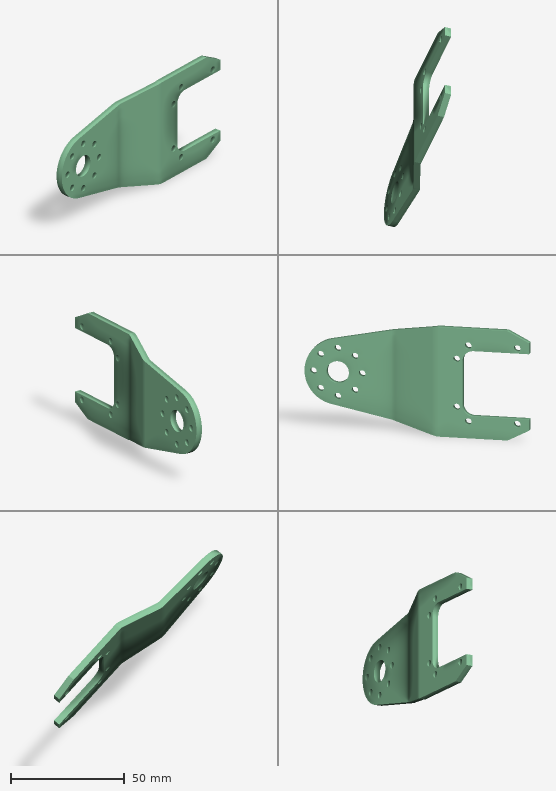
import cadquery as cq
import math

overall_length = 102.5
thickness = 3.0
tail_half_width = 25.0
nose_radius = 15.0
tail_end = overall_length - nose_radius

joggle_offset = 6.6
bend_angle = math.radians(18.2)
bend_inner_radius = 5.0
nose_bend_start = 24.4

hub_hole_diameter = 10.0
small_hole_diameter = 3.0
bolt_circle_radius = 11.0
bolt_count = 8

slot_half_width = 15.0
slot_depth = 30.0
slot_corner_radius = 5.0
tip_chamfer_length = 9.7
tip_chamfer_width = 5.0
tail_hole_positions = [(82.1, 17.3), (60.1, 17.3), (54.8, 11.0)]

mid_radius = bend_inner_radius + thickness / 2
bend_rise = mid_radius * (1 - math.cos(bend_angle))
bend_run = mid_radius * math.sin(bend_angle)
bend_length = mid_radius * bend_angle
panel_length = (joggle_offset - 2 * bend_rise) / math.sin(bend_angle)
tail_start = nose_bend_start + 2 * bend_run + panel_length * math.cos(bend_angle)

flat_taper_length = nose_bend_start + 2 * bend_length + panel_length
taper_angle = math.atan2(tail_half_width, flat_taper_length) - math.asin(
    nose_radius / math.hypot(flat_taper_length, tail_half_width)
)


def half_width(flat_length):
    """Half width of the tapered sheet at a flat-pattern distance from the hub."""
    return (nose_radius + flat_length * math.sin(taper_angle)) / math.cos(taper_angle)


def section(x, y, angle, width):
    """Sheet cross-section at a mid-sheet point, normal to the given direction."""
    plane = cq.Plane(
        origin=(x, y, 0),
        xDir=(math.cos(angle), -math.sin(angle), 0),
        normal=(math.sin(angle), math.cos(angle), 0),
    )
    return cq.Workplane(plane).rect(thickness, 2 * width)


def flat_plate(outline, x):
    """Extrude a YZ outline by the sheet thickness from the given X."""
    return outline.extrude(thickness).translate((x, 0, 0))


def make_nose():
    tangent_y = -nose_radius * math.sin(taper_angle)
    tangent_z = nose_radius * math.cos(taper_angle)
    end_width = half_width(nose_bend_start)
    outline = (
        cq.Workplane("YZ")
        .moveTo(nose_bend_start, -end_width)
        .lineTo(nose_bend_start, end_width)
        .lineTo(tangent_y, tangent_z)
        .threePointArc((-nose_radius, 0), (tangent_y, -tangent_z))
        .close()
    )
    hub_hole = cq.Workplane("YZ").circle(hub_hole_diameter / 2).extrude(thickness)
    bolt_holes = (
        cq.Workplane("YZ")
        .polarArray(bolt_circle_radius, 0, 360, bolt_count)
        .circle(small_hole_diameter / 2)
        .extrude(thickness)
    )
    return flat_plate(outline, 0).cut(hub_hole).cut(bolt_holes)


def make_tail():
    slot_end = tail_end - slot_depth
    tip_half_width = tail_half_width - tip_chamfer_width
    outline = cq.Workplane("YZ").polyline([
        (tail_start, -tail_half_width),
        (tail_end - tip_chamfer_length, -tail_half_width),
        (tail_end, -tip_half_width),
        (tail_end, -slot_half_width),
        (slot_end, -slot_half_width),
        (slot_end, slot_half_width),
        (tail_end, slot_half_width),
        (tail_end, tip_half_width),
        (tail_end - tip_chamfer_length, tail_half_width),
        (tail_start, tail_half_width),
    ]).close()
    plate = flat_plate(outline, joggle_offset)
    slot_corners = cq.selectors.BoxSelector(
        (joggle_offset, slot_end - slot_corner_radius, -tip_half_width),
        (joggle_offset + thickness, slot_end + slot_corner_radius, tip_half_width),
    )
    plate = plate.edges("|X").edges(slot_corners).fillet(slot_corner_radius)
    holes = (
        cq.Workplane("YZ", origin=(joggle_offset, 0, 0))
        .pushPoints([(y, side * z) for y, z in tail_hole_positions for side in (-1, 1)])
        .circle(small_hole_diameter / 2)
        .extrude(thickness)
    )
    return plate.cut(holes)


def make_bend(start, middle, end, start_section, end_section):
    """Sweep the tapering sheet section along a bend arc in the XY plane."""
    path = cq.Workplane("XY").moveTo(*start).threePointArc(middle, end)
    start_section.ctx.pendingWires.extend(end_section.ctx.pendingWires)
    return start_section.sweep(path, multisection=True)


def make_joggle():
    mid_x = thickness / 2
    half_bend_rise = mid_radius * (1 - math.cos(bend_angle / 2))
    half_bend_run = mid_radius * math.sin(bend_angle / 2)

    nose_point = (mid_x, nose_bend_start)
    nose_middle = (mid_x + half_bend_rise, nose_bend_start + half_bend_run)
    panel_start = (mid_x + bend_rise, nose_bend_start + bend_run)
    tail_point = (mid_x + joggle_offset, tail_start)
    tail_middle = (tail_point[0] - half_bend_rise, tail_start - half_bend_run)
    panel_end = (tail_point[0] - bend_rise, tail_start - bend_run)

    nose_width = half_width(nose_bend_start)
    panel_start_width = half_width(nose_bend_start + bend_length)
    panel_end_width = half_width(nose_bend_start + bend_length + panel_length)

    nose_bend = make_bend(
        nose_point, nose_middle, panel_start,
        section(*nose_point, 0, nose_width),
        section(*panel_start, bend_angle, panel_start_width),
    )
    panel = (
        section(*panel_start, bend_angle, panel_start_width)
        .workplane(offset=panel_length)
        .rect(thickness, 2 * panel_end_width)
        .loft(ruled=True)
    )
    tail_bend = make_bend(
        panel_end, tail_middle, tail_point,
        section(*panel_end, bend_angle, panel_end_width),
        section(*tail_point, 0, tail_half_width),
    )
    return nose_bend.union(panel).union(tail_bend)


result = make_nose().union(make_joggle()).union(make_tail())